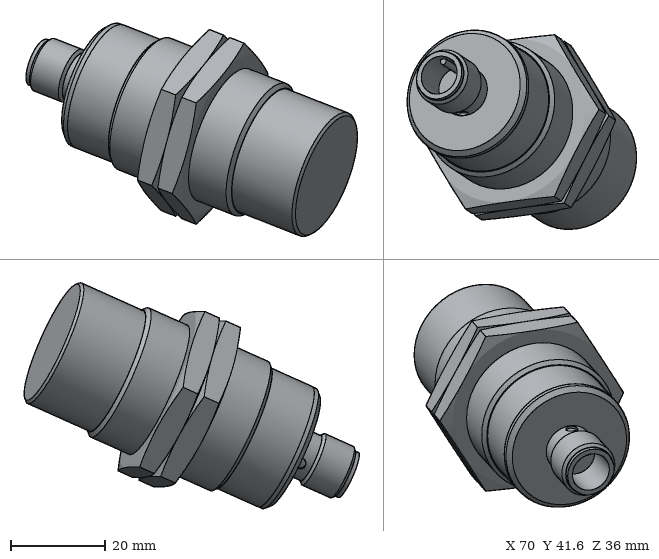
import cadquery as cq
import math

TOTAL_LENGTH = 70.0

TIP_DIAMETER = 10.5
COLLAR_DIAMETER = 12.0
COLLAR_START = 0.9
COLLAR_END = 8.9
COLLAR_CHAMFER = 0.6
BORE_DIAMETER = 8.3
BORE_DEPTH = 8.9
KEY_WIDTH = 1.25
KEY_HEIGHT = 1.2
KEY_SETBACK = 2.1
LAMP_DIAMETER = 2.5
LAMP_X = 11.5
LAMP_DEPTH = 0.5

CAP_START = 12.95
CAP_END = 15.0
CAP_DIAMETER = 27.9
CAP_CHAMFER = 1.05
BARREL_DIAMETER = 28.0
BARREL_END_CHAMFER = 0.55
THREAD_START = 25.0
THREAD_END = 54.9
THREAD_DIAMETER = 30.0
THREAD_ROOT_DIAMETER = 28.35

NUT_ACROSS_FLATS = 36.0
NUT_THICKNESS = 5.0
FIRST_NUT_X = 35.0
NUT_COUNT = 2
NUT_CHAMFER_ANGLE = 15.0

TIP_RADIUS = TIP_DIAMETER / 2
COLLAR_RADIUS = COLLAR_DIAMETER / 2
COLLAR_ROOT_RADIUS = COLLAR_RADIUS - COLLAR_CHAMFER
CAP_RADIUS = CAP_DIAMETER / 2
BARREL_RADIUS = BARREL_DIAMETER / 2
THREAD_RADIUS = THREAD_DIAMETER / 2
THREAD_ROOT_RADIUS = THREAD_ROOT_DIAMETER / 2
THREAD_CHAMFER = THREAD_RADIUS - THREAD_ROOT_RADIUS
BORE_RADIUS = BORE_DIAMETER / 2
FLAT_RADIUS = NUT_ACROSS_FLATS / 2
CORNER_RADIUS = FLAT_RADIUS / math.cos(math.radians(30))
NUT_CORNER_DROP = (CORNER_RADIUS - FLAT_RADIUS) * math.tan(math.radians(NUT_CHAMFER_ANGLE))


def revolve_about_x(points):
    """Revolve a closed outline of (x, radius) points about the X axis."""
    return cq.Workplane("XY").polyline(points).close().revolve(360, (0, 0, 0), (1, 0, 0))


def make_turned_housing():
    """Connector, cap, barrel and threaded length as one stepped turning."""
    connector = [
        (0, 0),
        (0, TIP_RADIUS),
        (COLLAR_START, TIP_RADIUS),
        (COLLAR_START, COLLAR_ROOT_RADIUS),
        (COLLAR_START + COLLAR_CHAMFER, COLLAR_RADIUS),
        (COLLAR_END - COLLAR_CHAMFER, COLLAR_RADIUS),
        (COLLAR_END, COLLAR_ROOT_RADIUS),
        (COLLAR_END, TIP_RADIUS),
        (CAP_START, TIP_RADIUS),
    ]
    cap = [
        (CAP_START, CAP_RADIUS - CAP_CHAMFER),
        (CAP_START + CAP_CHAMFER, CAP_RADIUS),
        (CAP_END, CAP_RADIUS),
    ]
    barrel = [
        (CAP_END, BARREL_RADIUS),
        (THREAD_START, BARREL_RADIUS),
        (THREAD_START, THREAD_ROOT_RADIUS),
        (THREAD_START + THREAD_CHAMFER, THREAD_RADIUS),
        (THREAD_END - THREAD_CHAMFER, THREAD_RADIUS),
        (THREAD_END, THREAD_ROOT_RADIUS),
        (THREAD_END, BARREL_RADIUS),
        (TOTAL_LENGTH - BARREL_END_CHAMFER, BARREL_RADIUS),
        (TOTAL_LENGTH, BARREL_RADIUS - BARREL_END_CHAMFER),
        (TOTAL_LENGTH, 0),
    ]
    return revolve_about_x(connector + cap + barrel)


def make_socket():
    """Blind connector bore, less the round-nosed key at its top."""
    bore = cq.Workplane("YZ").circle(BORE_RADIUS).extrude(BORE_DEPTH)
    key_nose_z = BORE_RADIUS - KEY_HEIGHT + KEY_WIDTH / 2
    key_top_z = BORE_RADIUS + KEY_WIDTH / 2
    key = (
        cq.Workplane("YZ", origin=(KEY_SETBACK, 0, 0))
        .moveTo(-KEY_WIDTH / 2, key_top_z)
        .lineTo(-KEY_WIDTH / 2, key_nose_z)
        .threePointArc((0, BORE_RADIUS - KEY_HEIGHT), (KEY_WIDTH / 2, key_nose_z))
        .lineTo(KEY_WIDTH / 2, key_top_z)
        .close()
        .extrude(BORE_DEPTH - KEY_SETBACK)
    )
    return bore.cut(key)


def make_lamp_recesses():
    """Round recesses above and below the neck, with floors concentric to it."""
    windows = (
        cq.Workplane("XY", origin=(LAMP_X, 0, -COLLAR_RADIUS))
        .circle(LAMP_DIAMETER / 2)
        .extrude(2 * COLLAR_RADIUS)
    )
    core = cq.Workplane("YZ").circle(TIP_RADIUS - LAMP_DEPTH).extrude(CAP_END)
    return windows.cut(core)


def make_housing():
    return make_turned_housing().cut(make_socket()).cut(make_lamp_recesses())


def make_nut(start_x):
    """Hexagon nut with corners on +Y and -Y, chamfered on both faces."""
    hexagon = cq.Workplane("YZ").polygon(6, 2 * CORNER_RADIUS).extrude(NUT_THICKNESS)
    chamfer_envelope = revolve_about_x([
        (0, 0),
        (0, FLAT_RADIUS),
        (NUT_CORNER_DROP, CORNER_RADIUS),
        (NUT_THICKNESS - NUT_CORNER_DROP, CORNER_RADIUS),
        (NUT_THICKNESS, FLAT_RADIUS),
        (NUT_THICKNESS, 0),
    ])
    hole = cq.Workplane("YZ").circle(THREAD_RADIUS).extrude(NUT_THICKNESS)
    return hexagon.intersect(chamfer_envelope).cut(hole).translate((start_x, 0, 0))


housing = make_housing()
nuts = [make_nut(FIRST_NUT_X + index * NUT_THICKNESS) for index in range(NUT_COUNT)]

result = cq.Compound.makeCompound([housing.val(), *[nut.val() for nut in nuts]])